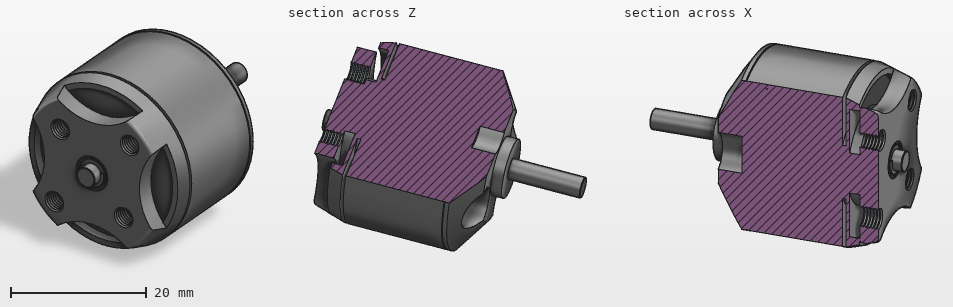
import cadquery as cq
import math


shaft_radius = 1.6
shaft_front_y = -1.65
shaft_length = 40.0
shaft_chamfer = 0.1

base_diameter = 27.9
base_radius = base_diameter / 2
base_height = 5.2
base_taper = 0.3
base_edge_fillet = 0.7
plate_thickness = 3.0
cavity_inner_radius = 7.5
cavity_outer_radius = 12.35
cavity_floor_y = 4.55

cutout_count = 4
cutout_depth = plate_thickness
cutout_radius = 10.15
cutout_inner_reach = 8.5

bolt_pairs = ((9.5, 45.0), (8.0, 135.0))
thread_minor_radius = 1.45
thread_major_radius = 1.65
thread_turns = 6
thread_pitch = plate_thickness / thread_turns

seat_mouth_radius = 2.85
seat_radius = 2.7
seat_depth = seat_mouth_radius - seat_radius
seal_outer_radius = 2.5
seal_inner_radius = 2.25
seal_depth = 0.25
clip_diameter = 4.3
clip_radius = clip_diameter / 2
clip_front_y = -0.1
clip_opening_z = 0.55

neck_radius = 8.05
bell_front_y = 5.7
bell_radius = base_radius
seam_y = 20.9
seam_width = 0.1
seam_depth = 0.1
cone_start_y = 21.7
cone_end_y = 25.45
cone_end_radius = 8.55
collar_radius = 4.5
collar_end_y = 27.15

vent_count = 4
vent_radius = 3.35
vent_distance = 8.3


def disc(radius, start_y, end_y):
    """Solid cylinder on the motor axis."""
    return cq.Workplane("XZ", origin=(0, start_y, 0)).circle(radius).extrude(start_y - end_y)


def turned(profile):
    """Solid turned about the motor axis from (radius, y) points."""
    return cq.Workplane("XY").polyline(profile).close().revolve(360, (0, 0), (0, 1))


def polar(distance, angle):
    """Offset (x, y, z) from the motor axis at an angle in degrees from +X towards +Z."""
    radians = math.radians(angle)
    return (distance * math.cos(radians), 0, distance * math.sin(radians))


def make_shaft():
    shaft = disc(shaft_radius, shaft_front_y, shaft_front_y + shaft_length)
    return shaft.edges("%CIRCLE").chamfer(shaft_chamfer)


def make_thread_cutter():
    """Bore through the plate, lined with a stack of V-shaped thread ridges."""
    profile = [(0, 0), (thread_major_radius, 0)]
    for turn in range(thread_turns):
        groove_start = turn * thread_pitch
        profile.append((thread_minor_radius, groove_start + thread_pitch / 2))
        profile.append((thread_major_radius, groove_start + thread_pitch))
    profile.append((0, plate_thickness))
    return turned(profile)


def make_base():
    face_radius = base_radius - base_taper * base_height
    base = turned([(0, 0), (face_radius, 0), (base_radius, base_height), (0, base_height)])
    base = base.faces("<Y").edges().fillet(base_edge_fillet)

    cavity = disc(cavity_outer_radius, plate_thickness, cavity_floor_y)
    base = base.cut(cavity.cut(disc(cavity_inner_radius, plate_thickness, cavity_floor_y)))

    cutter = disc(cutout_radius, 0, cutout_depth)
    for index in range(cutout_count):
        angle = index * 360 / cutout_count
        base = base.cut(cutter.translate(polar(cutout_inner_reach + cutout_radius, angle)))

    thread_cutter = make_thread_cutter()
    for distance, angle in bolt_pairs:
        for hole_angle in (angle, angle + 180):
            base = base.cut(thread_cutter.translate(polar(distance, hole_angle)))

    seat = turned([
        (0, 0),
        (seat_mouth_radius, 0),
        (seat_radius, seat_depth),
        (seal_outer_radius, seat_depth),
        (seal_outer_radius, seal_depth),
        (seal_inner_radius, seal_depth),
        (seal_inner_radius, seat_depth),
        (0, seat_depth),
    ])
    return base.cut(seat)


def make_clip():
    clip = disc(clip_radius, clip_front_y, seat_depth)
    opening = cq.Workplane("XY", origin=(0, 0, clip_opening_z)).rect(
        clip_diameter, clip_diameter).extrude(clip_radius)
    return clip.cut(opening)


def make_bell():
    bell = turned([
        (0, base_height),
        (neck_radius, base_height),
        (neck_radius, bell_front_y),
        (bell_radius, bell_front_y),
        (bell_radius, seam_y),
        (bell_radius - seam_depth, seam_y),
        (bell_radius - seam_depth, seam_y + seam_width),
        (bell_radius, seam_y + seam_width),
        (bell_radius, cone_start_y),
        (cone_end_radius, cone_end_y),
        (collar_radius, cone_end_y),
        (collar_radius, collar_end_y),
        (0, collar_end_y),
    ])
    vent = disc(vent_radius, cone_start_y, cone_end_y)
    for index in range(vent_count):
        bell = bell.cut(vent.translate(polar(vent_distance, index * 360 / vent_count)))
    return bell


result = make_base().union(make_bell()).union(make_shaft()).union(make_clip())